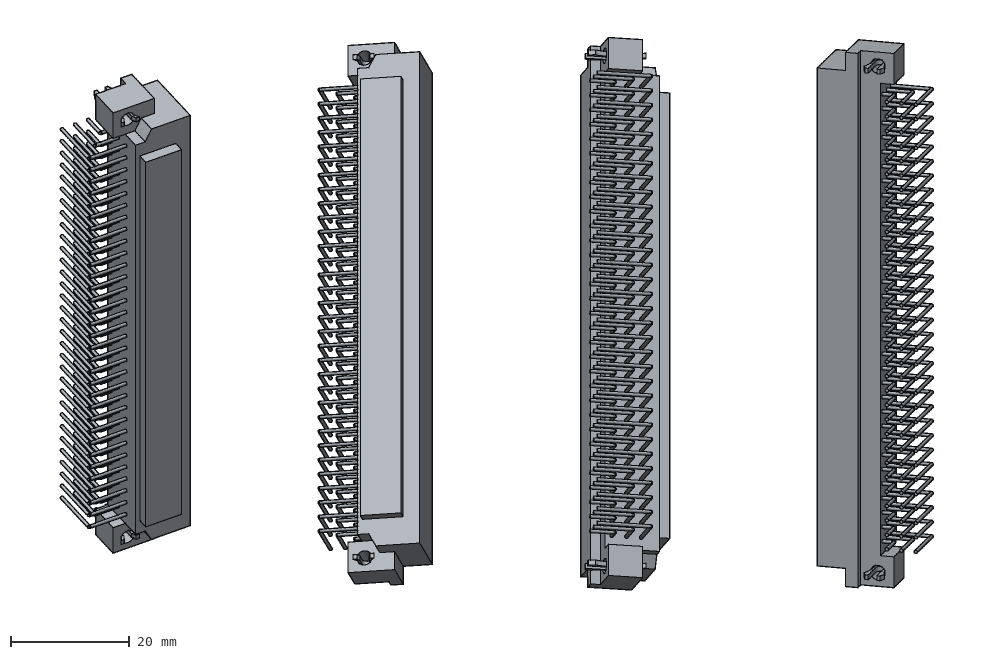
import cadquery as cq

overall_length = 94.0
overall_width = 14.5
overall_depth = 18.05

half_length = overall_length / 2
housing_left = 1.4
housing_right = 12.5
housing_depth = 10.6
lip_depth = 7.1
recess_left = 3.1
end_step = 3.2
slope_start_depth = 7.5
slope_end_depth = 8.7

ear_right = 9.0
ear_back_depth = 5.0
ear_front_depth = 13.0
ear_height = 5.45
hole_diameter = 2.5
hole_depth = 10.15
hole_from_end = 2.4

tongue_back_depth = 2.8
tongue_front_depth = 9.8
tongue_end_gap = 8.1

pin_diameter = 0.6
pin_pitch = 2.5
pins_per_row = 32
pin_rows = 3
pin_embed = 0.9
outer_pin_x = 9.3
outer_pin_depth = overall_depth - pin_diameter / 2

clip_thickness = 0.8
barb_peak_x = 1.1
barb_end_x = 1.7
flare_end_x = 9.9
web_x = (recess_left + ear_right) / 2
tip_half_width = 1.3
barb_half_width = 1.8
leg_half_width = 1.5
waist_half_width = 1.2
inner_half_width = 0.75
flare_inner_half_width = 1.1

end_z = half_length - end_step
ear_inner_z = half_length - ear_height
hole_z = half_length - hole_from_end


def box(x_min, x_max, shallow, deep, z_min, z_max):
    """Block between two depths measured from the back face toward -Y."""
    size = (x_max - x_min, deep - shallow, z_max - z_min)
    return cq.Workplane("XY").box(*size, centered=False).translate((x_min, -deep, z_min))


def make_housing():
    """Bar with sloped front ends, recessed along its left front edge to leave a lip."""
    half_outline = [
        (0, end_z),
        (-slope_start_depth, end_z),
        (-slope_end_depth, ear_inner_z),
        (-housing_depth, ear_inner_z),
    ]
    mirrored = [(y, -z) for y, z in reversed(half_outline)]
    bar = (
        cq.Workplane("YZ", origin=(housing_left, 0, 0))
        .polyline(half_outline + mirrored)
        .close()
        .extrude(housing_right - housing_left)
    )
    recess = box(housing_left, recess_left, lip_depth, housing_depth, -half_length, half_length)
    tongue_z = half_length - tongue_end_gap
    tongue = box(housing_right, overall_width, tongue_back_depth, tongue_front_depth, -tongue_z, tongue_z)
    return bar.cut(recess).union(tongue)


def make_ear():
    """Upper ear with its end of the lip, extending past the housing end."""
    lip_end = box(housing_left, recess_left, ear_back_depth, lip_depth, ear_inner_z, half_length)
    block = box(recess_left, ear_right, ear_back_depth, ear_front_depth, ear_inner_z, half_length)
    return block.union(lip_end)


def make_clip_hole():
    """Cylinder that pierces the upper ear along X."""
    return (
        cq.Workplane("YZ", origin=(recess_left, -hole_depth, hole_z))
        .circle(hole_diameter / 2)
        .extrude(ear_right - recess_left)
    )


def make_clip():
    """Flat spring clip: barbed legs at the left, a web inside the hole and flared ends at the right."""
    upper_edge = [
        (0, tip_half_width),
        (barb_peak_x, barb_half_width),
        (barb_end_x, leg_half_width),
        (recess_left, waist_half_width),
        (ear_right, waist_half_width),
        (flare_end_x, barb_half_width),
        (flare_end_x, flare_inner_half_width),
        (ear_right, inner_half_width),
    ]
    outline = cq.Workplane("XY", origin=(0, -hole_depth, hole_z - clip_thickness / 2)).moveTo(*upper_edge[0])
    for point in upper_edge[1:]:
        outline = outline.lineTo(*point)
    outline = outline.lineTo(web_x + inner_half_width, inner_half_width)
    outline = outline.threePointArc((web_x, 0), (web_x + inner_half_width, -inner_half_width))
    for x, y in reversed(upper_edge):
        outline = outline.lineTo(x, -y)
    outline = outline.lineTo(0, -inner_half_width).lineTo(web_x - 2 * inner_half_width, -inner_half_width)
    outline = outline.threePointArc(
        (web_x - inner_half_width, 0), (web_x - 2 * inner_half_width, inner_half_width)
    )
    return outline.lineTo(0, inner_half_width).close().extrude(clip_thickness)


def make_pin(row, z):
    """Bent pin: from its tip along +X, then round a tight corner into the housing along +Y."""
    bend_x = outer_pin_x - row * pin_pitch
    pin_y = -outer_pin_depth + row * pin_pitch
    path = (
        cq.Workplane("XY", origin=(0, 0, z))
        .moveTo(0, pin_y)
        .lineTo(bend_x, pin_y)
        .lineTo(bend_x, -housing_depth + pin_embed)
    )
    section = cq.Workplane("YZ", origin=(0, pin_y, z)).circle(pin_diameter / 2)
    return section.sweep(path, transition="round").val()


first_pin_z = -pin_pitch * (pins_per_row - 1) / 2
pins = [
    make_pin(row, first_pin_z + index * pin_pitch)
    for row in range(pin_rows)
    for index in range(pins_per_row)
]

ear = make_ear()
clip_hole = make_clip_hole()
clip = make_clip()

body = make_housing().union(ear).union(ear.mirror("XY"))
body = body.cut(clip_hole).cut(clip_hole.mirror("XY"))
body = body.union(clip).union(clip.mirror("XY"))
result = cq.Workplane("XY").newObject([body.val().fuse(*pins)])